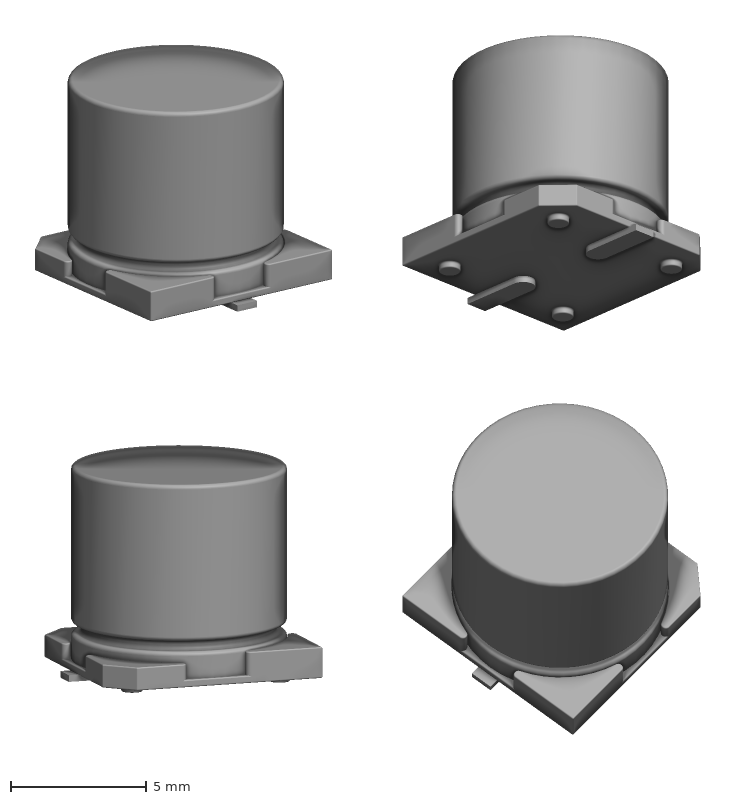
import cadquery as cq


overall_length = 9.0
overall_height = 7.8

base_width = 8.3
base_half = base_width / 2
base_bottom = 0.25
slab_top = 0.53
low_pad_top = 1.12
high_pad_top = 1.42
corner_cut = 1.0
slot_half_width = 1.18
slot_corner_radius = 0.17
seat_radius = 4.02
edge_radius = 0.05

can_radius = 4.0
neck_radius = 3.6
groove_bottom = 1.52
groove_top = 1.91
can_fillet = 0.16

lead_width = 0.9
lead_inner_end = 1.55
foot_radius = 0.4
foot_offset = 2.9
foot_fillet = 0.05


def base_outline(bottom, top):
    """Square prism whose two -X corners are cut off at 45 degrees."""
    prism = (
        cq.Workplane("XY")
        .workplane(offset=bottom)
        .rect(base_width, base_width)
        .extrude(top - bottom)
    )
    prism = prism.edges("|Z and <X").chamfer(corner_cut)
    return prism.edges("|Z").fillet(edge_radius)


def make_slab():
    """Thin floor of the base, rounded along its top and bottom rims."""
    return base_outline(base_bottom, slab_top).faces("<Z or >Z").edges().fillet(edge_radius)


def make_pad(x_sign, y_sign):
    """Corner pad between two slots, hollowed to leave a thin gap around the can; the -X pads are lower."""
    pad_bottom = base_bottom + edge_radius
    pad_top = high_pad_top if x_sign > 0 else low_pad_top
    quadrant_size = base_half - slot_half_width
    quadrant_center = slot_half_width + quadrant_size / 2
    quadrant = (
        cq.Workplane("XY")
        .workplane(offset=pad_bottom)
        .center(x_sign * quadrant_center, y_sign * quadrant_center)
        .rect(quadrant_size, quadrant_size)
        .extrude(pad_top - pad_bottom)
    )
    seat = cq.Workplane("XY").circle(seat_radius).extrude(overall_height)
    pad = base_outline(pad_bottom, pad_top).intersect(quadrant).cut(seat)

    x_slot_wall = pad.faces("<X" if x_sign > 0 else ">X").edges("|Z")
    y_slot_wall = pad.faces("<Y" if y_sign > 0 else ">Y").edges("|Z")
    pad = pad.newObject(x_slot_wall.vals() + y_slot_wall.vals()).fillet(slot_corner_radius)
    return pad.faces(">Z").edges().fillet(edge_radius)


def make_can():
    """Round can with a crimped groove near the bottom; all rims and groove corners are rounded."""
    can = (
        cq.Workplane("XY")
        .workplane(offset=base_bottom + edge_radius)
        .circle(can_radius)
        .extrude(overall_height - base_bottom - edge_radius)
    )
    groove = (
        cq.Workplane("XY")
        .workplane(offset=groove_bottom)
        .circle(can_radius)
        .circle(neck_radius)
        .extrude(groove_top - groove_bottom)
    )
    can = can.cut(groove)
    return can.edges("%CIRCLE").edges("not <Z").fillet(can_fillet)


def make_lead(x_sign):
    """Flat lead under the base, square at the outer end and round at the inner end."""
    half_width = lead_width / 2
    round_center = x_sign * (lead_inner_end + half_width)
    outer_end = x_sign * overall_length / 2
    return (
        cq.Workplane("XY")
        .moveTo(outer_end, -half_width)
        .lineTo(round_center, -half_width)
        .threePointArc((x_sign * lead_inner_end, 0), (round_center, half_width))
        .lineTo(outer_end, half_width)
        .close()
        .extrude(base_bottom)
    )


def make_foot(x_sign, y_sign):
    """Round foot with a rounded lower rim and a flared root where it meets the base."""
    flare_radius = foot_radius + foot_fillet
    foot_profile = (
        cq.Workplane("XZ")
        .lineTo(foot_radius - foot_fillet, 0)
        .radiusArc((foot_radius, foot_fillet), -foot_fillet)
        .lineTo(foot_radius, base_bottom - foot_fillet)
        .radiusArc((flare_radius, base_bottom), foot_fillet)
        .lineTo(0, base_bottom)
        .close()
    )
    foot = foot_profile.revolve(360, (0, 0), (0, 1))
    return foot.translate((x_sign * foot_offset, y_sign * foot_offset, 0))


result = make_slab().union(make_can())
for x_side in (-1, 1):
    result = result.union(make_lead(x_side))
    for y_side in (-1, 1):
        result = result.union(make_pad(x_side, y_side))
        result = result.union(make_foot(x_side, y_side))